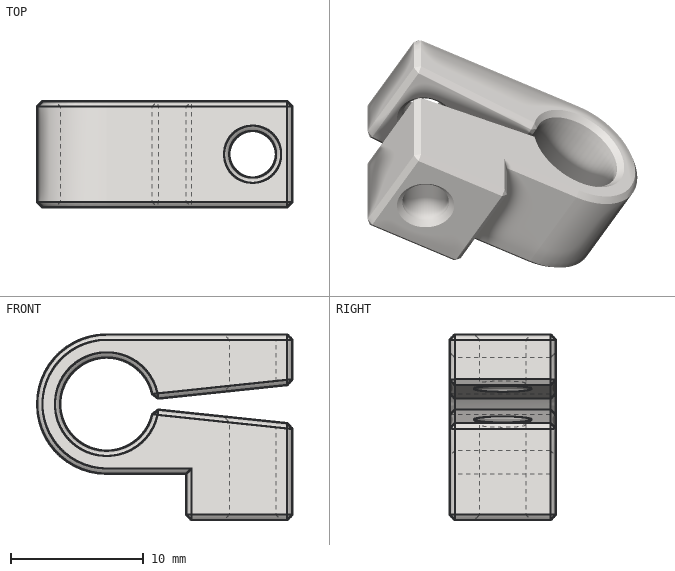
import cadquery as cq
import math

length = 19.25
width = 8.0
height = 14.0
head_radius = 5.25
bore_radius = 3.5
block_length = 8.0
screw_diameter = 3.5
screw_end_distance = 3.0
slot_half_angle = math.radians(6)
chamfer = 0.4

end_x = length - head_radius
step_x = end_x - block_length
bottom_z = head_radius - height
screw_x = end_x - screw_end_distance
slot_end_half_gap = end_x * math.tan(slot_half_angle)
bore_lip_x = bore_radius * math.cos(slot_half_angle)
bore_lip_z = bore_radius * math.sin(slot_half_angle)


def clamp_body():
    """Rounded clamp with its bore and a tapered slot whose walls point at the bore axis."""
    return (
        cq.Workplane("XZ")
        .moveTo(0, head_radius)
        .lineTo(end_x, head_radius)
        .lineTo(end_x, slot_end_half_gap)
        .lineTo(bore_lip_x, bore_lip_z)
        .threePointArc((-bore_radius, 0), (bore_lip_x, -bore_lip_z))
        .lineTo(end_x, -slot_end_half_gap)
        .lineTo(end_x, bottom_z)
        .lineTo(step_x, bottom_z)
        .lineTo(step_x, -head_radius)
        .lineTo(0, -head_radius)
        .threePointArc((-head_radius, 0), (0, head_radius))
        .close()
        .extrude(width / 2, both=True)
    )


def chamfer_outline(body):
    """Chamfer every edge except the inner step corner and the smooth head-to-arm joins."""
    across = body.edges("|Y").vals()
    kept_sharp = [(0, head_radius), (0, -head_radius), (step_x, -head_radius)]

    def is_sharp(edge):
        center = edge.Center()
        return any(math.hypot(center.x - x, center.z - z) < chamfer / 2 for x, z in kept_sharp)

    corners = [edge for edge in across if not is_sharp(edge)]
    rims = body.faces("<Y or >Y").edges().vals()
    return body.newObject(corners + rims).chamfer(chamfer)


def drill_screw_hole(body):
    """Drill through both jaws and countersink the hole on all four jaw faces."""
    drill = (
        cq.Workplane("XY", origin=(screw_x, 0, bottom_z))
        .circle(screw_diameter / 2)
        .extrude(height)
    )
    drilled = body.cut(drill)
    reach = screw_diameter / 2 + chamfer / 2
    near_hole = cq.selectors.BoxSelector(
        (screw_x - reach, -reach, bottom_z - chamfer),
        (screw_x + reach, reach, head_radius + chamfer),
        boundingbox=True,
    )
    rims = [edge for edge in drilled.edges(near_hole).vals() if edge.geomType() != "LINE"]
    return drilled.newObject(rims).chamfer(chamfer)


result = drill_screw_hole(chamfer_outline(clamp_body()))